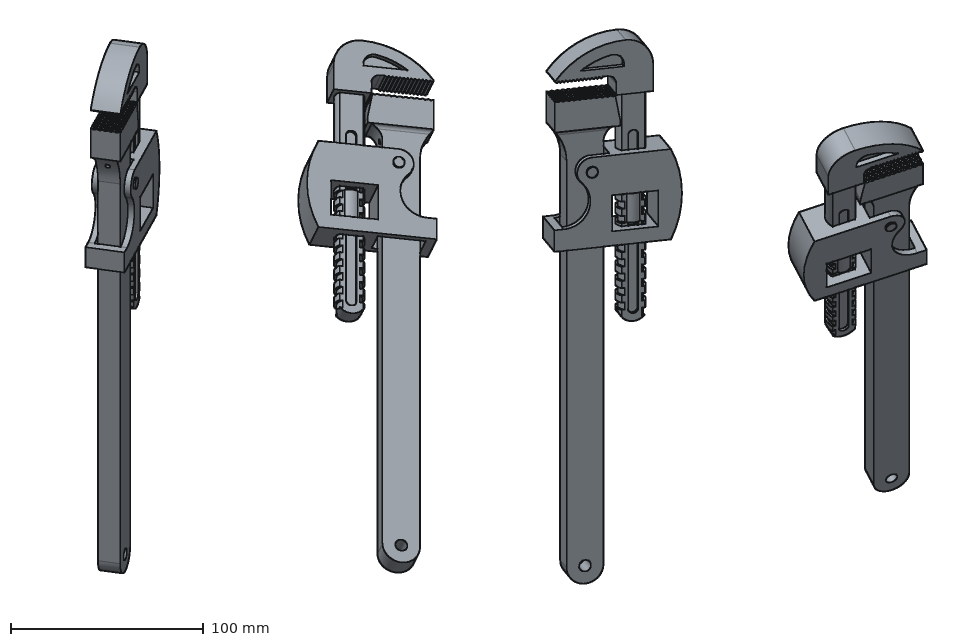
import cadquery as cq
import math


cut_margin = 5.0

handle_width = 20.0
handle_thickness = 12.0
hanging_hole_diameter = 6.35
handle_half = handle_width / 2
handle_bottom_z = -handle_half
overall_height = 300.26
wrench_top_z = handle_bottom_z + overall_height

jaw_thickness = 16.0
jaw_tip_y = -16.9
hook_width = 20.0
hook_inner_y = 16.3
hook_back_y = hook_inner_y + hook_width
hook_bottom_z = 260.2
bite_z = 271.2
hook_back_radius = 15.0
hook_corner_radius = 4.8
hook_tooth_pitch = 2.0
hook_tooth_depth = 1.0
hook_tooth_count = 13

recess_depth = 3.0
recess_wall = 6.7
recess_back_y = 20.5
recess_bottom_z = 275.7
recess_corner_radius = 6.0

shank_diameter = 16.0
shank_thickness = 10.0
shank_axis_y = (hook_inner_y + hook_back_y) / 2
shank_bottom_z = 132.5
thread_root_diameter = 13.5
thread_pitch = 8.0
thread_groove_width = thread_pitch / 2
thread_first_z = 137.4
thread_groove_count = 11
slot_width = 5.5
slot_depth = 1.5
slot_top_z = 238.7
slot_bottom_z = 137.0
shank_radius = shank_diameter / 2

heel_top_z = hook_bottom_z
heel_bottom_z = 242.9
heel_back_y = shank_axis_y - shank_radius
heel_slope_bottom_z = 246.5
heel_slope_top_y = 15.7
heel_fillet_radius = (jaw_thickness - handle_thickness) / 2
neck_front_radius = 25.0
neck_back_radius = 9.0
neck_back_run = 6.0
heel_tooth_pitch = 3.0
heel_groove_depth = 0.6
heel_long_rows = 5
heel_cross_rows = 11
heel_first_cross_y = 14.6
spring_hole_diameter = 2.49
spring_hole_z = 236.5

bracket_thickness = 21.0
bracket_front_y = -17.9
bracket_length = 69.0
bracket_back_y = bracket_front_y + bracket_length
bracket_back_sagitta = 6.0
bracket_bottom_z = 177.8
foot_height = 12.0
foot_top_z = bracket_bottom_z + foot_height
lobe_radius = 8.0
throat_radius = 14.0
window_height = 20.0
window_width = 25.0
window_bottom_z = bracket_bottom_z + 8.0
window_back_y = 38.3
handle_slot_thickness = 14.0
handle_slot_half_depth = 12.75

pin_diameter = 6.0
pin_length = 23.0
pin_y = 2.4
pin_z = 220.0
bracket_top_z = pin_z + lobe_radius

nut_diameter = 12.2
nut_chamfer = 2.0


def plate(outline, thickness):
    """Extrude a closed YZ outline symmetrically about X = 0."""
    return outline.extrude(thickness / 2, both=True)


def yz():
    return cq.Workplane("YZ")


def box_between(x_size, y_low, y_high, z_low, z_high):
    """Box centred on X = 0 that spans the given Y and Z ranges."""
    return (
        cq.Workplane("XY", origin=(0, (y_low + y_high) / 2, z_low))
        .rect(x_size, y_high - y_low)
        .extrude(z_high - z_low)
    )


def cross_rod(diameter, y, z, length):
    """Cylinder along X, centred on X = 0."""
    return plate(yz().center(y, z).circle(diameter / 2), length)


def row_positions(count, pitch):
    """Positions of `count` evenly pitched rows, centred on zero."""
    return [(i - (count - 1) / 2) * pitch for i in range(count)]


crown_y = hook_back_y - hook_back_radius
crown_run = crown_y - jaw_tip_y
crown_drop = wrench_top_z - bite_z
crown_radius = (crown_run**2 + crown_drop**2) / (2 * crown_drop)
crown_centre_z = wrench_top_z - crown_radius


def crown_point(radius, y):
    """Point above Y = y on a circle concentric with the crown of the hook."""
    return (y, crown_centre_z + math.sqrt(radius**2 - (crown_y - y) ** 2))


def hook_profile():
    back_centre_z = wrench_top_z - hook_back_radius
    diagonal = hook_back_radius * math.sqrt(0.5)
    tooth_y = jaw_tip_y
    profile = (
        yz()
        .moveTo(hook_inner_y, hook_bottom_z)
        .lineTo(hook_back_y, hook_bottom_z)
        .lineTo(hook_back_y, back_centre_z)
        .threePointArc((crown_y + diagonal, back_centre_z + diagonal), (crown_y, wrench_top_z))
        .threePointArc(crown_point(crown_radius, (crown_y + jaw_tip_y) / 2), (jaw_tip_y, bite_z))
    )
    for _ in range(hook_tooth_count):
        profile = profile.lineTo(tooth_y + hook_tooth_pitch / 2, bite_z - hook_tooth_depth)
        tooth_y += hook_tooth_pitch
        profile = profile.lineTo(tooth_y, bite_z)
    return (
        profile
        .lineTo(hook_inner_y - hook_corner_radius, bite_z)
        .radiusArc((hook_inner_y, bite_z - hook_corner_radius), hook_corner_radius)
        .close()
    )


def hook_recess(side):
    """Recess below the crown, cut into the +X (side = 1) or -X (side = -1) face."""
    arch_radius = crown_radius - recess_wall
    corner_y = recess_back_y - recess_corner_radius
    corner_z = crown_point(arch_radius - recess_corner_radius, corner_y)[1]
    tip_y = crown_y - math.sqrt(arch_radius**2 - (recess_bottom_z - crown_centre_z) ** 2)
    tangent_y = crown_y - (crown_y - corner_y) * arch_radius / (arch_radius - recess_corner_radius)
    return (
        cq.Workplane("YZ", origin=(side * jaw_thickness / 2, 0, 0))
        .moveTo(tip_y, recess_bottom_z)
        .lineTo(recess_back_y, recess_bottom_z)
        .lineTo(recess_back_y, corner_z)
        .radiusArc(crown_point(arch_radius, tangent_y), -recess_corner_radius)
        .threePointArc(crown_point(arch_radius, (tangent_y + tip_y) / 2), (tip_y, recess_bottom_z))
        .close()
        .extrude(-side * recess_depth)
    )


def round_bar(diameter, bottom_z, top_z):
    """Upright cylinder on the shank axis."""
    return (
        cq.Workplane("XY", origin=(0, shank_axis_y, bottom_z))
        .circle(diameter / 2)
        .extrude(top_z - bottom_z)
    )


def shank_envelope(bottom_z, top_z):
    """Round bar with two side flats."""
    bar = round_bar(shank_diameter, bottom_z, top_z)
    flats = box_between(
        shank_thickness, shank_axis_y - shank_radius, shank_axis_y + shank_radius, bottom_z, top_z
    )
    return bar.intersect(flats)


def thread_groove(side, index):
    """Half-ring groove on the +Y (side = 1) or -Y (side = -1) side of the shank.

    The grooves of the -Y side sit half a pitch higher, as on a screw thread.
    """
    stagger = 0 if side > 0 else thread_pitch / 2
    bottom_z = thread_first_z + stagger + index * thread_pitch - thread_groove_width / 2
    top_z = bottom_z + thread_groove_width
    outer_y = shank_axis_y + side * (shank_radius + cut_margin)
    half = box_between(
        shank_diameter, min(shank_axis_y, outer_y), max(shank_axis_y, outer_y), bottom_z, top_z
    )
    return half.cut(round_bar(thread_root_diameter, bottom_z, top_z))


def shank_slot(side):
    length = slot_top_z - slot_bottom_z
    return (
        cq.Workplane("YZ", origin=(side * shank_thickness / 2, 0, 0))
        .center(shank_axis_y, (slot_top_z + slot_bottom_z) / 2)
        .slot2D(length, slot_width, 90)
        .extrude(-side * slot_depth)
    )


def flat_sheet_with_round_end():
    """Sheet between the two side flats of the shank, rounded at its lower end."""
    arc_centre_z = shank_bottom_z + shank_radius
    front_y = shank_axis_y - shank_radius
    back_y = shank_axis_y + shank_radius
    outline = (
        yz()
        .moveTo(front_y, hook_bottom_z)
        .lineTo(front_y, arc_centre_z)
        .threePointArc((shank_axis_y, shank_bottom_z), (back_y, arc_centre_z))
        .lineTo(back_y, hook_bottom_z)
        .close()
    )
    return plate(outline, shank_thickness)


def make_nut():
    nut = round_bar(nut_diameter, window_bottom_z, window_bottom_z + window_height)
    return nut.faces("<Z or >Z").chamfer(nut_chamfer)


def make_hook_jaw(nut):
    shank = shank_envelope(shank_bottom_z, hook_bottom_z).intersect(flat_sheet_with_round_end())
    jaw = plate(hook_profile(), jaw_thickness)
    for side in (-1, 1):
        jaw = jaw.cut(hook_recess(side))
        shank = shank.cut(shank_slot(side))
        for index in range(thread_groove_count):
            shank = shank.cut(thread_groove(side, index))
    return jaw.union(shank).cut(nut)


def handle_profile():
    front_run = -handle_half - jaw_tip_y
    front_rise = math.sqrt(neck_front_radius**2 - (neck_front_radius - front_run) ** 2)
    back_rise = math.sqrt(neck_back_radius**2 - (neck_back_radius - neck_back_run) ** 2)
    return (
        yz()
        .moveTo(-handle_half, 0)
        .threePointArc((0, handle_bottom_z), (handle_half, 0))
        .lineTo(handle_half, heel_bottom_z - back_rise)
        .radiusArc((handle_half + neck_back_run, heel_bottom_z), neck_back_radius)
        .lineTo(heel_back_y, heel_bottom_z)
        .lineTo(heel_back_y, heel_slope_bottom_z)
        .lineTo(heel_slope_top_y, heel_top_z)
        .lineTo(jaw_tip_y, heel_top_z)
        .lineTo(jaw_tip_y, heel_bottom_z)
        .radiusArc((-handle_half, heel_bottom_z - front_rise), neck_front_radius)
        .close()
    )


def handle_section():
    """Front outline: thin handle that widens through concave fillets into the heel jaw."""
    thin = handle_thickness / 2
    thick = jaw_thickness / 2
    return (
        cq.Workplane("XZ", origin=(0, -bracket_length, 0))
        .moveTo(-thin, handle_bottom_z)
        .lineTo(thin, handle_bottom_z)
        .lineTo(thin, heel_bottom_z - heel_fillet_radius)
        .radiusArc((thick, heel_bottom_z), heel_fillet_radius)
        .lineTo(thick, heel_top_z)
        .lineTo(-thick, heel_top_z)
        .lineTo(-thick, heel_bottom_z)
        .radiusArc((-thin, heel_bottom_z - heel_fillet_radius), heel_fillet_radius)
        .close()
        .extrude(-2 * bracket_length)
    )


def heel_groove(plane, origin, length):
    """V groove, one pitch wide, along the normal of `plane` with its mouth at the heel top."""
    return (
        cq.Workplane(plane, origin=origin)
        .moveTo(-heel_tooth_pitch / 2, 0)
        .lineTo(0, -heel_groove_depth)
        .lineTo(heel_tooth_pitch / 2, 0)
        .close()
        .extrude(length, both=True)
    )


def make_handle():
    handle = plate(handle_profile(), jaw_thickness).intersect(handle_section())
    for x in row_positions(heel_long_rows, heel_tooth_pitch):
        handle = handle.cut(heel_groove("XZ", (x, 0, heel_top_z), handle_width))
    for row in range(heel_cross_rows):
        y = heel_first_cross_y - row * heel_tooth_pitch
        handle = handle.cut(heel_groove("YZ", (0, y, heel_top_z), jaw_thickness))
    spring_hole = (
        cq.Workplane("XZ", origin=(0, 0, spring_hole_z))
        .circle(spring_hole_diameter / 2)
        .extrude(handle_width, both=True)
    )
    hanging_hole = cross_rod(hanging_hole_diameter, 0, 0, handle_thickness)
    pin_hole = cross_rod(pin_diameter, pin_y, pin_z, handle_thickness)
    return handle.cut(spring_hole).cut(hanging_hole).cut(pin_hole)


def bracket_profile():
    throat_centre_z = foot_top_z + throat_radius
    centre_distance = lobe_radius + throat_radius
    rise = pin_z - throat_centre_z
    throat_centre_y = pin_y - math.sqrt(centre_distance**2 - rise**2)
    share = lobe_radius / centre_distance
    joint = (pin_y + (throat_centre_y - pin_y) * share, pin_z - rise * share)
    back_corner_y = bracket_back_y - bracket_back_sagitta
    return (
        yz()
        .moveTo(bracket_front_y, bracket_bottom_z)
        .lineTo(back_corner_y, bracket_bottom_z)
        .threePointArc(
            (bracket_back_y, (bracket_bottom_z + bracket_top_z) / 2), (back_corner_y, bracket_top_z)
        )
        .lineTo(pin_y, bracket_top_z)
        .threePointArc((pin_y - lobe_radius, pin_z), joint)
        .threePointArc(
            (throat_centre_y + throat_radius, throat_centre_z), (throat_centre_y, foot_top_z)
        )
        .lineTo(bracket_front_y, foot_top_z)
        .close()
    )


def make_bracket():
    window = box_between(
        bracket_thickness,
        window_back_y - window_width,
        window_back_y,
        window_bottom_z,
        window_bottom_z + window_height,
    )
    handle_slot = box_between(
        handle_slot_thickness,
        -handle_slot_half_depth,
        handle_slot_half_depth,
        bracket_bottom_z,
        bracket_top_z,
    )
    return (
        plate(bracket_profile(), bracket_thickness)
        .cut(handle_slot)
        .cut(window)
        .cut(shank_envelope(bracket_bottom_z, bracket_top_z))
        .cut(cross_rod(pin_diameter, pin_y, pin_z, bracket_thickness))
    )


nut = make_nut()
hook_jaw = make_hook_jaw(nut)
handle = make_handle()
bracket = make_bracket()
pin = cross_rod(pin_diameter, pin_y, pin_z, pin_length)

bodies = [handle, hook_jaw, bracket, pin, nut]
result = cq.Compound.makeCompound([body.solids().val() for body in bodies])